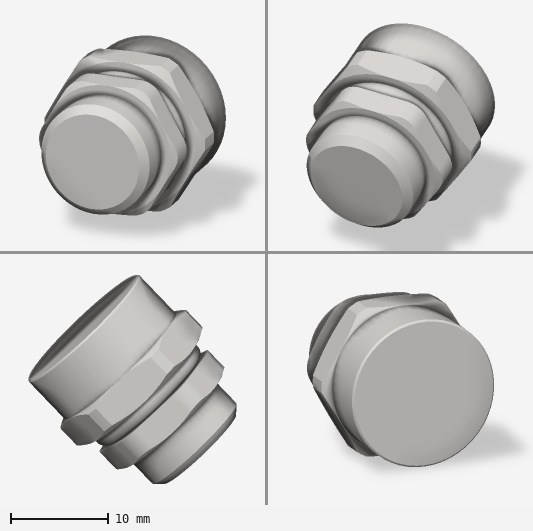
import cadquery as cq
import math

plug_length = 4.05
small_hex_length = 2.83
neck_length = 1.62
large_hex_length = 3.47
sleeve_length = 5.52

plug_diameter = 12.0
plug_chamfer = 0.84
small_hex_flats = 13.99
small_hex_corner_radius = 2.53
ring_diameter = 14.35
ring_cord_diameter = 2.0
large_hex_flats = 16.0
large_hex_corners = 17.8
sleeve_diameter = 15.8
sleeve_chamfer = 0.2
hex_chamfer_angle = 30.0

small_hex_start = plug_length
ring_start = small_hex_start + small_hex_length
large_hex_start = ring_start + neck_length
sleeve_start = large_hex_start + large_hex_length


def section_plane(start):
    """Plane across the axis at Y = start, with its normal toward +Y."""
    return cq.Workplane(cq.Plane(origin=(0, start, 0), xDir=(1, 0, 0), normal=(0, 1, 0)))


def cylinder(start, length, diameter):
    return section_plane(start).circle(diameter / 2).extrude(length)


def hexagon(start, length, across_flats):
    """Hexagonal prism with two corners on the X axis."""
    sharp_corners = across_flats / math.cos(math.radians(30))
    return section_plane(start).polygon(6, sharp_corners).extrude(length)


def hex_turning(start, length, face_diameter, outer_diameter, chamfer_back):
    """Turned envelope that bevels the corners of a hexagon at its end faces."""
    face_radius = face_diameter / 2
    outer_radius = outer_diameter / 2
    bevel = (outer_radius - face_radius) * math.tan(math.radians(hex_chamfer_angle))
    end = start + length
    profile = cq.Workplane("XY").moveTo(0, start).lineTo(face_radius, start)
    profile = profile.lineTo(outer_radius, start + bevel)
    if chamfer_back:
        profile = profile.lineTo(outer_radius, end - bevel).lineTo(face_radius, end)
    else:
        profile = profile.lineTo(outer_radius, end)
    return profile.lineTo(0, end).close().revolve(360, (0, 0, 0), (0, 1, 0))


plug = cylinder(0, plug_length, plug_diameter).faces("<Y").chamfer(plug_chamfer)

small_hex_corners = small_hex_flats / math.cos(math.radians(30))
small_hex = hexagon(small_hex_start, small_hex_length, small_hex_flats)
small_hex = small_hex.edges("|Y").fillet(small_hex_corner_radius)
small_hex = small_hex.intersect(
    hex_turning(small_hex_start, small_hex_length, small_hex_flats, small_hex_corners, False)
)

ring_centre_radius = (ring_diameter - ring_cord_diameter) / 2
ring_centre_y = ring_start + ring_cord_diameter / 2
ring = (
    cq.Workplane("XY")
    .center(ring_centre_radius, ring_centre_y)
    .circle(ring_cord_diameter / 2)
    .revolve(360, (-ring_centre_radius, 0, 0), (-ring_centre_radius, 1, 0))
)

neck = cylinder(ring_start, neck_length, 2 * ring_centre_radius)

large_hex = hexagon(large_hex_start, large_hex_length, large_hex_flats).intersect(
    hex_turning(large_hex_start, large_hex_length, large_hex_flats, large_hex_corners, True)
)

sleeve = cylinder(sleeve_start, sleeve_length, sleeve_diameter).faces(">Y").chamfer(sleeve_chamfer)

result = plug.union(small_hex).union(neck).union(ring).union(large_hex).union(sleeve)